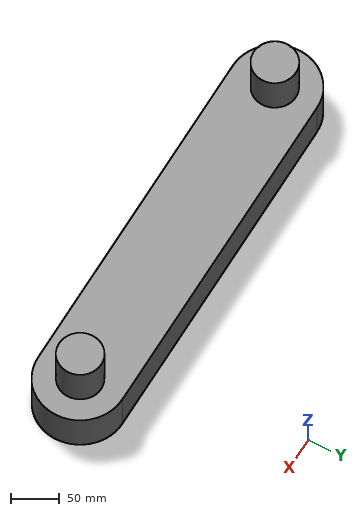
import cadquery as cq

pin_spacing = 400.0
link_width = 100.0
link_thickness = 50.0
pin_diameter = 50.0
pin_height = 50.0

link_length = pin_spacing + link_width


def link_bar():
    """Flat bar with full-round ends, its underside on Z = 0."""
    return cq.Workplane("XY").slot2D(link_length, link_width).extrude(link_thickness)


def pins():
    """Two upright pins, each concentric with a rounded end of the bar."""
    pin_centers = [(-pin_spacing / 2, 0), (pin_spacing / 2, 0)]
    return (
        cq.Workplane("XY")
        .workplane(offset=link_thickness)
        .pushPoints(pin_centers)
        .circle(pin_diameter / 2)
        .extrude(pin_height)
    )


result = link_bar().union(pins())